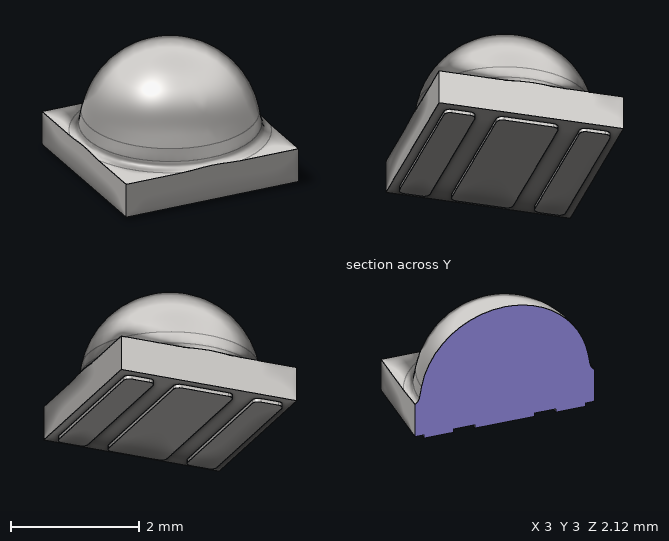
import cadquery as cq
import math

body_side = 3.0
body_thickness = 0.57
total_height = 2.12

pad_thickness = 0.06
pad_length = 2.7
pad_corner_radius = 0.1
pad_overlap = 0.01
side_pad_width = 0.5
center_pad_width = 1.0

lens_foot_radius = 1.583
collar_bottom_radius = 1.432
collar_top_radius = 1.395
collar_bottom_height = 0.125
collar_height = 0.205
lens_overlap = 0.1

body_top_z = pad_thickness + body_thickness
collar_bottom_z = body_top_z + collar_bottom_height
collar_top_z = collar_bottom_z + collar_height
side_pad_x = (pad_length - side_pad_width) / 2


def make_body():
    """Square substrate carrying the lens."""
    return (
        cq.Workplane("XY", origin=(0, 0, pad_thickness))
        .rect(body_side, body_side)
        .extrude(body_thickness)
    )


def make_pad(center_x, width):
    """Thin pad with rounded corners under the body."""
    return (
        cq.Workplane("XY")
        .center(center_x, 0)
        .rect(width, pad_length)
        .extrude(pad_thickness + pad_overlap)
        .edges("|Z")
        .fillet(pad_corner_radius)
    )


def make_lens():
    """Dome, tapered collar and concave flare, cut flush with the body sides."""
    cap_height = total_height - collar_top_z
    sphere_radius = (collar_top_radius**2 + cap_height**2) / (2 * cap_height)
    sphere_z = total_height - sphere_radius
    dome_mid = (
        sphere_radius * math.sin(math.pi / 4),
        sphere_z + sphere_radius * math.cos(math.pi / 4),
    )

    flare_run = lens_foot_radius - collar_bottom_radius
    flare_radius = (flare_run**2 + collar_bottom_height**2) / (2 * collar_bottom_height)
    half_sweep = math.atan2(collar_bottom_height, flare_run)
    flare_mid = (
        lens_foot_radius - flare_radius * math.sin(half_sweep),
        body_top_z + flare_radius * (1 - math.cos(half_sweep)),
    )

    lens = (
        cq.Workplane("XZ")
        .moveTo(0, body_top_z - lens_overlap)
        .lineTo(lens_foot_radius, body_top_z - lens_overlap)
        .lineTo(lens_foot_radius, body_top_z)
        .threePointArc(flare_mid, (collar_bottom_radius, collar_bottom_z))
        .lineTo(collar_top_radius, collar_top_z)
        .threePointArc(dome_mid, (0, total_height))
        .close()
        .revolve(360, (0, 0, 0), (0, 1, 0))
    )
    envelope = cq.Workplane("XY").rect(body_side, body_side).extrude(total_height)
    return lens.intersect(envelope)


result = make_body().union(make_lens())
for center_x, width in (
    (-side_pad_x, side_pad_width),
    (0, center_pad_width),
    (side_pad_x, side_pad_width),
):
    result = result.union(make_pad(center_x, width))